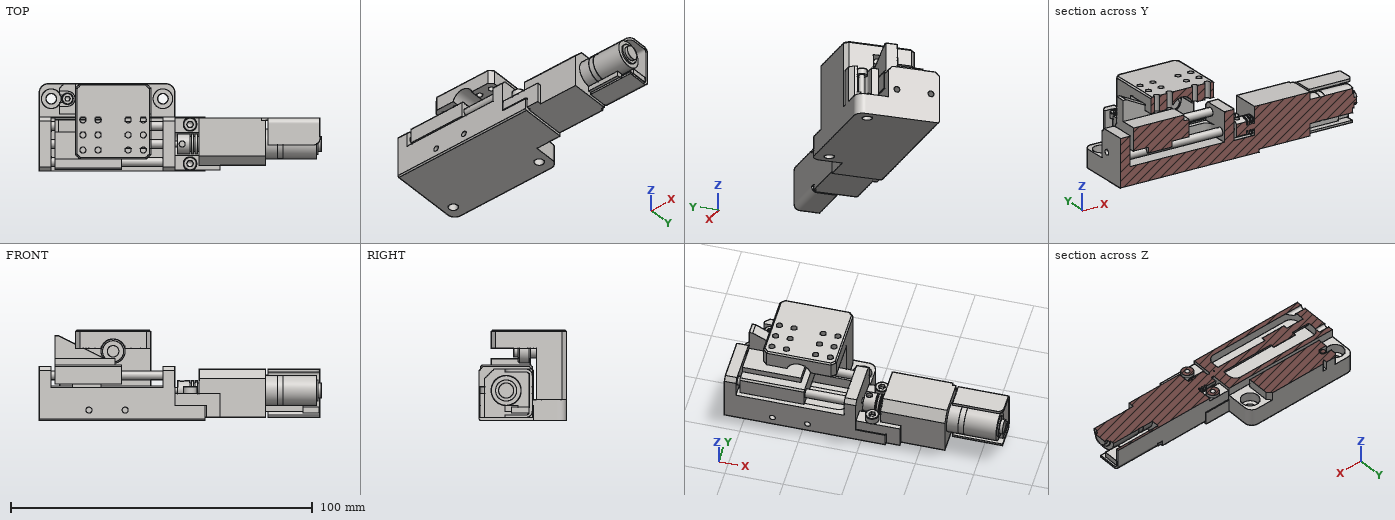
import cadquery as cq
import math

BODY_WIDTH = 18.0
AXIS_Y = BODY_WIDTH / 2
AXIS_Z = 10.0
ROD_Z = 15.0
ROD_OFFSET = 6.0
ROD_DIA = 3.0
TOWER_HEIGHT = 18.0
TOWER_THICKNESS = 4.0
GUIDE_LENGTH = 45.0
BASE_LENGTH = 55.0
FLOOR_Z = 11.0
DECK_Z = 5.0
FLANGE_HEIGHT = 7.0
TOTAL_DEPTH = 29.0
TOTAL_HEIGHT = 30.0
TOTAL_LENGTH = 93.5
SCREW_ROW_Y = 24.0
MOTOR_BOTTOM = 1.1
MOTOR_TOP = 17.1
SIDE_GAP = 0.35
REAR_Y = BODY_WIDTH - SIDE_GAP
HEAD_CHAMFER = 0.2
DRILL_CONE_SLOPE = 30.0


def box(x0, x1, y0, y1, z0, z1):
    """Axis-aligned block between the given limits."""
    return cq.Workplane("XY").box(x1 - x0, y1 - y0, z1 - z0, centered=False).translate((x0, y0, z0))


def rod_x(dia, x0, x1, y, z):
    """Cylinder along X."""
    return cq.Workplane("YZ", origin=(x0, y, z)).circle(dia / 2).extrude(x1 - x0)


def rod_y(dia, y0, y1, x, z):
    """Cylinder along Y."""
    return cq.Workplane("XZ", origin=(x, y0, z)).circle(dia / 2).extrude(y0 - y1)


def rod_z(dia, z0, z1, x, y):
    """Cylinder along Z."""
    return cq.Workplane("XY", origin=(x, y, z0)).circle(dia / 2).extrude(z1 - z0)


def socket_head(head_dia, hex_size, x, y, z0, z1):
    """Chamfered screw head from z0 to z1 with a hexagonal socket that ends in a drill cone."""
    socket_z = z1 - (z1 - z0) / 2
    corner_dia = hex_size / math.cos(math.pi / 6)
    socket = cq.Workplane("XY", origin=(x, y, socket_z)).polygon(6, corner_dia).extrude(z1 - socket_z)
    cone_depth = hex_size / 2 * math.tan(math.radians(DRILL_CONE_SLOPE))
    tip = cq.Vector(x, y, socket_z - cone_depth)
    cone = cq.Workplane(cq.Solid.makeCone(0, hex_size / 2, cone_depth, tip, cq.Vector(0, 0, 1)))
    head = rod_z(head_dia, z0, z1, x, y).faces(">Z").chamfer(HEAD_CHAMFER)
    return head.cut(socket).cut(cone)


TOWER_CHAMFER = 1.4
BOTTOM_CHAMFER = 0.5
REAR_RIDGE = 0.5
CHANNEL_WALL = 2.0
CHANNEL_RADIUS = 3.0
CHANNEL_FLOOR = 7.0
FLANGE_RADIUS = 3.0
MOUNT_INSET = 4.0
MOUNT_HOLE_DIA = 3.4
MOUNT_BORE_DIA = 6.5
MOUNT_BORE_DEPTH = 3.5
PIN_HOLE_DIA = 2.0
SIDE_HOLE_XS = (16.5, 28.5)
SIDE_HOLE_Z = 3.5
SIDE_HOLE_DEPTH = 4.0


def make_base():
    inner_x0 = TOWER_THICKNESS
    inner_x1 = GUIDE_LENGTH - TOWER_THICKNESS
    body = box(0, GUIDE_LENGTH, 0, BODY_WIDTH, 0, TOWER_HEIGHT)
    body = body.edges("|X and >Z").chamfer(TOWER_CHAMFER)
    body = body.cut(box(inner_x0, inner_x1, 0, BODY_WIDTH, FLOOR_Z, TOWER_HEIGHT))
    body = body.union(box(inner_x0, inner_x1, REAR_Y, BODY_WIDTH, FLOOR_Z, FLOOR_Z + REAR_RIDGE))
    body = body.union(box(GUIDE_LENGTH, BASE_LENGTH, 0, BODY_WIDTH, 0, DECK_Z))
    body = body.edges("|X and <Y and <Z").chamfer(BOTTOM_CHAMFER)
    channel = box(inner_x0, inner_x1, CHANNEL_WALL, BODY_WIDTH - CHANNEL_WALL, CHANNEL_FLOOR, FLOOR_Z)
    body = body.cut(channel.edges("|Z").fillet(CHANNEL_RADIUS))
    flange = box(0, GUIDE_LENGTH, BODY_WIDTH, TOTAL_DEPTH, 0, FLANGE_HEIGHT)
    body = body.union(flange.edges("|Z and >Y").fillet(FLANGE_RADIUS))
    bore_bottom = FLANGE_HEIGHT - MOUNT_BORE_DEPTH
    for x in (MOUNT_INSET, GUIDE_LENGTH - MOUNT_INSET):
        body = body.cut(rod_z(MOUNT_HOLE_DIA, 0, FLANGE_HEIGHT, x, SCREW_ROW_Y))
        body = body.cut(rod_z(MOUNT_BORE_DIA, bore_bottom, FLANGE_HEIGHT, x, SCREW_ROW_Y))
    for x in SIDE_HOLE_XS:
        body = body.cut(rod_y(PIN_HOLE_DIA, 0, SIDE_HOLE_DEPTH, x, SIDE_HOLE_Z))
    front_rod_y = AXIS_Y - ROD_OFFSET
    rear_rod_y = AXIS_Y + ROD_OFFSET
    body = body.cut(rod_x(PIN_HOLE_DIA, 0, TOWER_THICKNESS + CHANNEL_RADIUS, front_rod_y, AXIS_Z))
    body = body.cut(rod_x(PIN_HOLE_DIA, 0, TOWER_THICKNESS, rear_rod_y, AXIS_Z))
    for y in (front_rod_y, rear_rod_y):
        body = body.union(rod_x(ROD_DIA, inner_x0, inner_x1, y, ROD_Z))
    return body.union(rod_x(ROD_DIA, inner_x0, inner_x1, AXIS_Y, AXIS_Z))


CARRIAGE_X = 5.2
CARRIAGE_LENGTH = 22.0
CARRIAGE_BOTTOM = 12.1
CARRIAGE_TOP = 18.5
CARRIAGE_FRONT = 0.5
CARRIAGE_CHAMFER = 0.6
PLATE_LENGTH = 20.0
PLATE_TOP = 20.6
PLATE_FRONT = 4.0
WEDGE_FRONT = 13.0
WEDGE_REAR = 17.0
WEDGE_TOP = 28.2
WEDGE_FLAT = 1.2
RAMP_RUN_PER_RISE = 2.0
NUT_X0 = 11.0
NUT_X1 = 20.5
NUT_HALF_WIDTH = 3.0


def make_carriage():
    x0 = CARRIAGE_X
    block = box(x0, x0 + CARRIAGE_LENGTH, CARRIAGE_FRONT, REAR_Y, CARRIAGE_BOTTOM, CARRIAGE_TOP)
    block = block.edges("|X and >Z").chamfer(CARRIAGE_CHAMFER)
    plate = box(x0, x0 + PLATE_LENGTH, PLATE_FRONT, WEDGE_REAR, CARRIAGE_TOP, PLATE_TOP)
    ramp_end = x0 + WEDGE_FLAT + (WEDGE_TOP - PLATE_TOP) * RAMP_RUN_PER_RISE
    outline = [
        (x0, PLATE_TOP),
        (ramp_end, PLATE_TOP),
        (x0 + WEDGE_FLAT, WEDGE_TOP),
        (x0, WEDGE_TOP),
    ]
    wedge = cq.Workplane("XZ", origin=(0, WEDGE_FRONT, 0)).polyline(outline).close()
    wedge = wedge.extrude(WEDGE_FRONT - WEDGE_REAR)
    nut = box(NUT_X0, NUT_X1, AXIS_Y - NUT_HALF_WIDTH, AXIS_Y + NUT_HALF_WIDTH, AXIS_Z, CARRIAGE_BOTTOM)
    return block.union(plate).union(wedge).union(nut)


TABLE_X = 12.0
TABLE_SIZE = 25.0
TABLE_BOTTOM = 24.0
TABLE_CHAMFER = 1.5
TABLE_TOP_CHAMFER = 0.5
COLUMN_FRONT = 19.0
STOP_X = 6.75
STOP_TOP = 19.2
STOP_SCREW_X = 9.4
STOP_SLOT_WIDTH = 5.0
STOP_SLOT_BOTTOM = 10.1
STOP_NECK_WIDTH = 2.5
STOP_HEAD_DIA = 3.8
STOP_HEAD_BOTTOM = 17.2
STOP_SHANK_DIA = 2.0
STOP_HEX = 1.57
SLOT_FRONT = 10.2
SLOT_ROOF = 26.3
TABLE_HOLE_DIA = 2.0
TABLE_HOLE_XS = (2.5, 7.5, 17.5, 22.5)
TABLE_HOLE_YS = (7.0, 12.0, 17.0)
ROLLER_X = TABLE_X + TABLE_SIZE / 2
ROLLER_Z = 23.0
ROLLER_DIA = 8.0
ROLLER_RIM_DIA = 7.0
ROLLER_POCKET_DIA = 8.2
HUB_DIA = 4.5
PIN_DIA = 3.8
PIN_FRONT = 11.5


def make_stop_lug():
    lug = box(STOP_X, TABLE_X, COLUMN_FRONT, TOTAL_DEPTH, FLANGE_HEIGHT, STOP_TOP)
    lug = lug.edges("|Z and <X and >Y").chamfer(TABLE_CHAMFER)
    for width, z0 in ((STOP_SLOT_WIDTH, STOP_SLOT_BOTTOM), (STOP_NECK_WIDTH, FLANGE_HEIGHT)):
        half = width / 2
        lug = lug.cut(box(STOP_X, STOP_SCREW_X, SCREW_ROW_Y - half, SCREW_ROW_Y + half, z0, STOP_TOP))
        lug = lug.cut(rod_z(width, z0, STOP_TOP, STOP_SCREW_X, SCREW_ROW_Y))
    shank = rod_z(STOP_SHANK_DIA, FLANGE_HEIGHT, STOP_HEAD_BOTTOM, STOP_SCREW_X, SCREW_ROW_Y)
    head = socket_head(STOP_HEAD_DIA, STOP_HEX, STOP_SCREW_X, SCREW_ROW_Y, STOP_HEAD_BOTTOM, STOP_TOP)
    return lug.union(shank).union(head)


def make_table():
    x1 = TABLE_X + TABLE_SIZE
    table_front = TOTAL_DEPTH - TABLE_SIZE
    table = box(TABLE_X, x1, table_front, TOTAL_DEPTH, FLANGE_HEIGHT, TOTAL_HEIGHT)
    table = table.edges("|Z").chamfer(TABLE_CHAMFER)
    table = table.faces(">Z").chamfer(TABLE_TOP_CHAMFER)
    table = table.cut(box(TABLE_X, x1, 0, COLUMN_FRONT, FLANGE_HEIGHT, TABLE_BOTTOM))
    slot_end = TABLE_X + (SLOT_ROOF - TABLE_BOTTOM) * RAMP_RUN_PER_RISE
    slot_outline = [(TABLE_X, TABLE_BOTTOM), (slot_end, TABLE_BOTTOM), (TABLE_X, SLOT_ROOF)]
    slot = cq.Workplane("XZ", origin=(0, SLOT_FRONT, 0)).polyline(slot_outline).close()
    table = table.cut(slot.extrude(SLOT_FRONT - COLUMN_FRONT))
    table = table.cut(rod_y(ROLLER_POCKET_DIA, table_front, COLUMN_FRONT, ROLLER_X, ROLLER_Z))
    for x in TABLE_HOLE_XS:
        for y in TABLE_HOLE_YS:
            table = table.cut(rod_z(TABLE_HOLE_DIA, TABLE_BOTTOM, TOTAL_HEIGHT, TABLE_X + x, y))
    return table


def make_roller():
    roller = rod_y(ROLLER_DIA, WEDGE_FRONT, WEDGE_REAR, ROLLER_X, ROLLER_Z)
    roller = roller.faces("<Y or >Y").chamfer((ROLLER_DIA - ROLLER_RIM_DIA) / 2)
    hub = rod_y(HUB_DIA, WEDGE_REAR, COLUMN_FRONT, ROLLER_X, ROLLER_Z)
    pin = rod_y(PIN_DIA, PIN_FRONT, WEDGE_FRONT, ROLLER_X, ROLLER_Z)
    return roller.union(hub).union(pin)


BRACKET_END = 60.0
BRACKET_TOP = 9.0
BRACKET_DROP_X = 55.4
TROUGH_DIA = 8.0
BRACKET_SCREW_X = 50.0
BRACKET_SCREW_OFFSET = 6.5
SCREW_HEAD_DIA = 4.5
SCREW_HEAD_TOP = 11.4
SCREW_HEX = 2.0
CLAMP_SCREW_DIA = 3.0
CLAMP_SCREW_Z = 3.6


def make_bracket():
    bracket = box(GUIDE_LENGTH, BRACKET_END, SIDE_GAP, REAR_Y, DECK_Z, BRACKET_TOP)
    bracket = bracket.union(box(BRACKET_DROP_X, BRACKET_END, SIDE_GAP, REAR_Y, MOTOR_BOTTOM, BRACKET_TOP))
    bracket = bracket.cut(rod_x(TROUGH_DIA, GUIDE_LENGTH, BRACKET_END, AXIS_Y, AXIS_Z))
    for y in (AXIS_Y - BRACKET_SCREW_OFFSET, AXIS_Y + BRACKET_SCREW_OFFSET):
        head = socket_head(SCREW_HEAD_DIA, SCREW_HEX, BRACKET_SCREW_X, y, BRACKET_TOP, SCREW_HEAD_TOP)
        bracket = bracket.union(head)
    return bracket.union(rod_x(CLAMP_SCREW_DIA, BASE_LENGTH, BRACKET_DROP_X, AXIS_Y, CLAMP_SCREW_Z))


BLOCK_X0 = 53.0
BLOCK_X1 = 75.0
BLOCK_FRONT = 1.9
BLOCK_CHAMFER = 3.1
COUPLING_X = 45.9
COUPLING_DIA = 6.5
COUPLING_STUB_DIA = 2.0
COUPLING_SET_SCREW_X = 47.4
COUPLING_SET_SCREW_DEPTH = 1.5
GROOVE_DIA = 5.0
GROOVE_WIDTH = 0.5
GROOVE_XS = (49.9, 51.2, 52.4)
MOTOR_DIA = 10.0
MOTOR_END = 91.9
BAND_DIA = 9.8
BAND_X0 = 78.9
BAND_X1 = 80.8
CAP_DIA = 7.0
CAP_END = 92.4
SHAFT_DIA = 5.0
SHELL_X0 = 75.8
SHELL_X1 = 93.0
SHELL_FRONT = 8.7
SHELL_THICKNESS = 1.0
SHELL_FLOOR = 0.8
SHELL_REAR_RADIUS = 2.0
SHELL_CORNER_RADIUS = 2.0
BOARD_X0 = 73.75
BOARD_FRONT = 16.8
STRIP_BOTTOM = 3.0
STRIP_TOP = 5.0
STRIP_END = 87.5
STRIP_REAR = 13.0
PLUG_END = 92.7
PLUG_BOTTOM = 2.5
PLUG_TOP = 4.5


def make_motor_block():
    block = box(BLOCK_X0, BLOCK_X1, BLOCK_FRONT, REAR_Y, MOTOR_BOTTOM, MOTOR_TOP)
    block = block.edges("|X and >Z and <Y").chamfer(BLOCK_CHAMFER)
    return block.cut(box(BOARD_X0, BLOCK_X1, BOARD_FRONT, REAR_Y, MOTOR_BOTTOM, MOTOR_TOP))


def make_coupling():
    coupling = rod_x(COUPLING_DIA, COUPLING_X, BLOCK_X0, AXIS_Y, AXIS_Z)
    for x in GROOVE_XS:
        ring = rod_x(COUPLING_DIA, x, x + GROOVE_WIDTH, AXIS_Y, AXIS_Z)
        coupling = coupling.cut(ring.cut(rod_x(GROOVE_DIA, x, x + GROOVE_WIDTH, AXIS_Y, AXIS_Z)))
    top = AXIS_Z + COUPLING_DIA / 2
    hole = rod_z(PIN_HOLE_DIA, top - COUPLING_SET_SCREW_DEPTH, top, COUPLING_SET_SCREW_X, AXIS_Y)
    stub = rod_x(COUPLING_STUB_DIA, GUIDE_LENGTH, COUPLING_X, AXIS_Y, AXIS_Z)
    return coupling.cut(hole).union(stub)


def make_motor():
    motor = rod_x(MOTOR_DIA, BLOCK_X1, BAND_X0, AXIS_Y, AXIS_Z)
    motor = motor.union(rod_x(BAND_DIA, BAND_X0, BAND_X1, AXIS_Y, AXIS_Z))
    motor = motor.union(rod_x(MOTOR_DIA, BAND_X1, MOTOR_END, AXIS_Y, AXIS_Z))
    motor = motor.union(rod_x(CAP_DIA, MOTOR_END, CAP_END, AXIS_Y, AXIS_Z))
    return motor.union(rod_x(SHAFT_DIA, CAP_END, TOTAL_LENGTH, AXIS_Y, AXIS_Z))


def make_connector():
    shell = box(SHELL_X0, SHELL_X1, SHELL_FRONT, REAR_Y, MOTOR_BOTTOM, MOTOR_TOP)
    shell = shell.edges("|X and >Y").fillet(SHELL_REAR_RADIUS)
    inner_rear = REAR_Y - SHELL_THICKNESS
    inner_bottom = MOTOR_BOTTOM + SHELL_FLOOR
    inner = box(SHELL_X0, SHELL_X1, SHELL_FRONT, inner_rear, inner_bottom, MOTOR_TOP - SHELL_THICKNESS)
    shell = shell.cut(inner.edges("|X and >Y").fillet(SHELL_REAR_RADIUS - SHELL_THICKNESS))
    upper_corner = cq.selectors.BoxSelector(
        (SHELL_X1 - SHELL_THICKNESS, 0, AXIS_Z),
        (SHELL_X1 + SHELL_THICKNESS, AXIS_Y, TOTAL_HEIGHT),
    )
    shell = shell.edges("|Z").edges(upper_corner).fillet(SHELL_CORNER_RADIUS)
    board_bottom = MOTOR_BOTTOM + SHELL_REAR_RADIUS
    board = box(BOARD_X0, SHELL_X0, BOARD_FRONT, REAR_Y, board_bottom, MOTOR_TOP - SHELL_REAR_RADIUS)
    strip = box(BLOCK_X1, STRIP_END, SHELL_FRONT, STRIP_REAR, STRIP_BOTTOM, STRIP_TOP)
    plug = box(STRIP_END, PLUG_END, SHELL_FRONT + SHELL_CORNER_RADIUS, inner_rear, PLUG_BOTTOM, PLUG_TOP)
    return shell.union(board).union(strip).union(plug)


result = make_base()
result = result.union(make_carriage())
result = result.union(make_stop_lug())
result = result.union(make_table())
result = result.union(make_roller())
result = result.union(make_bracket())
result = result.union(make_motor_block())
result = result.union(make_coupling())
result = result.union(make_motor())
result = result.union(make_connector())